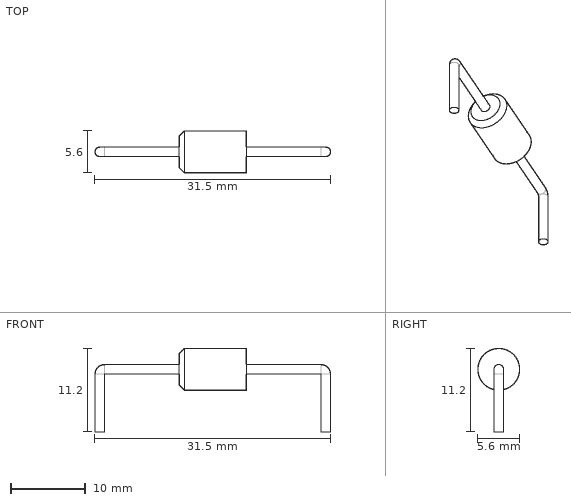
import cadquery as cq

overall_length = 31.5
body_diameter = 5.6
body_length = 9.0
body_chamfer = 0.7
lead_diameter = 1.3
inner_bend_radius = 0.005
lead_drop = 8.4

lead_radius = lead_diameter / 2
bend_radius = lead_radius + inner_bend_radius
lead_x = overall_length / 2 - lead_radius
bend_x = lead_x - bend_radius


def make_body():
    """Cylinder centered on the origin, chamfered at its -X end only."""
    cylinder = (
        cq.Workplane("YZ", origin=(-body_length / 2, 0, 0))
        .circle(body_diameter / 2)
        .extrude(body_length)
    )
    return cylinder.faces("<X").chamfer(body_chamfer)


def make_lead():
    """Lead on the +X side: horizontal run, quarter-turn bend and vertical leg."""
    run = (
        cq.Workplane("YZ", origin=(body_length / 2, 0, 0))
        .circle(lead_radius)
        .extrude(bend_x - body_length / 2)
    )
    bend = (
        cq.Workplane("YZ", origin=(bend_x, 0, 0))
        .circle(lead_radius)
        .revolve(90, (0, -bend_radius), (1, -bend_radius))
    )
    leg = (
        cq.Workplane("XY", origin=(lead_x, 0, -lead_drop))
        .circle(lead_radius)
        .extrude(lead_drop - bend_radius)
    )
    return run.union(bend).union(leg)


body = make_body()
leads = [make_lead().rotate((0, 0, 0), (0, 0, 1), turn) for turn in (0, 180)]

result = cq.Compound.makeCompound([body.val(), *[lead.val() for lead in leads]])